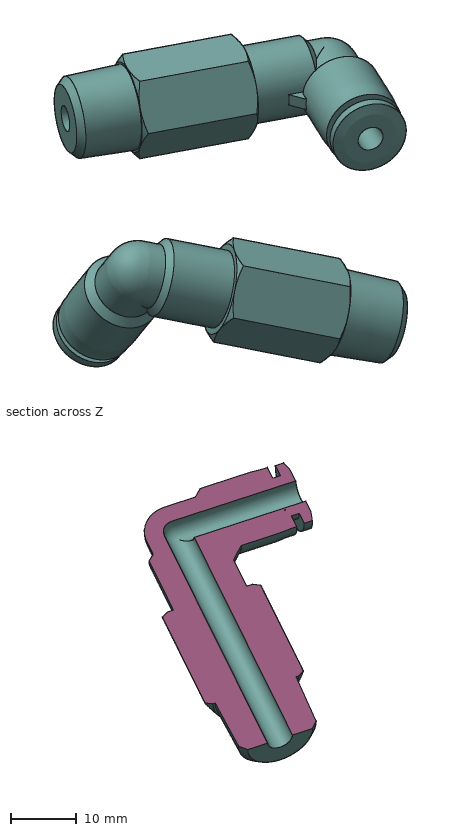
import cadquery as cq
import math


overall_length = 48.25

elbow_radius = 4.95
bore_diameter = 4.0

socket_radius = 6.2
collar_radius = 6.05
groove_radius = 3.85
ring_radius = 5.9
ring_tip_radius = 4.25
socket_cone_start = 5.0
socket_cone_end = 6.25
socket_taper_start = 14.35
collar_start = 16.35
collar_end = 17.25
ring_start = 18.5
ring_edge = 19.9
socket_end = 20.3

neck_radius = 6.05
neck_cone_start = 2.6
neck_cone_end = 3.55
hex_start = 13.45
hex_end = 32.15
thread_chamfer_start = 40.95
leg_end = overall_length - socket_radius
thread_root_radius = 6.65
thread_front_radius = 6.35
thread_tip_radius = 5.3

hex_flats = 14.0
hex_corner_radius = hex_flats / math.sqrt(3)
hex_chamfer_angle = 30

gusset_width = 1.9
gusset_reach = 14.25


def turned(stations):
    """Solid of revolution about +X from (distance, radius) stations."""
    first, last = stations[0][0], stations[-1][0]
    outline = [(first, 0)] + stations + [(last, 0)]
    return cq.Workplane("XY").polyline(outline).close().revolve(360, (0, 0), (1, 0))


def along_leg(body):
    """Turn a body lying along +X so that it lies along -Y."""
    return body.rotate((0, 0, 0), (0, 0, 1), -90)


def make_socket():
    return turned([
        (0, elbow_radius),
        (socket_cone_start, elbow_radius),
        (socket_cone_end, socket_radius),
        (socket_taper_start, socket_radius),
        (collar_start, collar_radius),
        (collar_end, collar_radius),
        (collar_end, groove_radius),
        (ring_start, groove_radius),
        (ring_start, ring_radius),
        (ring_edge, ring_radius),
        (socket_end, ring_tip_radius),
    ])


def make_leg():
    return along_leg(turned([
        (0, elbow_radius),
        (neck_cone_start, elbow_radius),
        (neck_cone_end, neck_radius),
        (hex_end, neck_radius),
        (hex_end, thread_root_radius),
        (thread_chamfer_start, thread_front_radius),
        (leg_end, thread_tip_radius),
    ]))


def make_hexagon():
    """Hexagon with corners on X, trimmed by a chamfered disc at both ends."""
    length = hex_end - hex_start
    prism = (
        cq.Workplane("XZ", origin=(0, -hex_start, 0))
        .polygon(6, 2 * hex_corner_radius)
        .extrude(length)
    )
    face_radius = hex_flats / 2
    chamfer_width = hex_corner_radius - face_radius
    chamfer_length = chamfer_width * math.tan(math.radians(hex_chamfer_angle))
    envelope = along_leg(turned([
        (hex_start, face_radius),
        (hex_start + chamfer_length, hex_corner_radius),
        (hex_end - chamfer_length, hex_corner_radius),
        (hex_end, face_radius),
    ]))
    return prism.intersect(envelope)


def make_gusset():
    """Thin 45 degree web, extended back to the elbow centre."""
    return (
        cq.Workplane("XY")
        .polyline([(0, 0), (gusset_reach, 0), (0, -gusset_reach)])
        .close()
        .extrude(gusset_width / 2, both=True)
    )


def make_bore():
    """Bores of both legs, meeting in a rounded corner."""
    radius = bore_diameter / 2
    corner = cq.Workplane("XY").sphere(radius)
    socket_bore = turned([(0, radius), (socket_end, radius)])
    leg_bore = along_leg(turned([(0, radius), (leg_end, radius)]))
    return corner.union(socket_bore).union(leg_bore)


corner_ball = cq.Workplane("XY").sphere(elbow_radius)
body = make_socket().union(make_leg()).union(corner_ball)
body = body.union(make_hexagon()).union(make_gusset())
result = body.cut(make_bore())